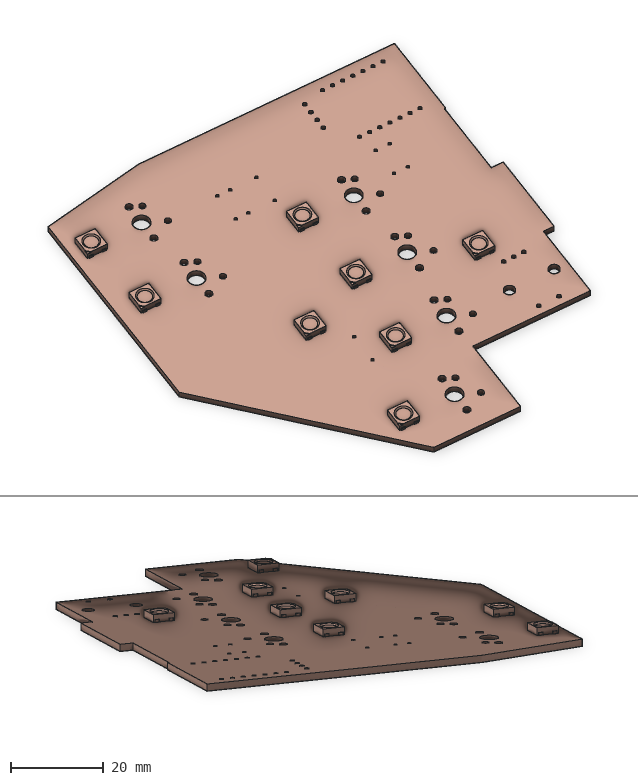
import cadquery as cq

board_length = 100.5
board_height = 93.0
board_thickness = 1.6

left_slope_top = 25.7
left_slope_foot = 4.7
right_slope_top = 38.7
right_slope_foot = 58.8
shelf_height = 60.6
shelf_start = 80.8
shoulder_height = 90.2
shoulder_step = 0.3
shoulder_step_start = 21.1
tab_left = 40.4
tab_right = 61.4

switch_centers = [(31.6, 60.7), (51.1, 62.2), (70.6, 60.2), (90.1, 50.2), (33.6, 19.8), (14.2, 17.8)]
switch_post_diameter = 4.0
switch_side_pin_diameter = 1.7
switch_contact_diameter = 1.5

header_pin_count = 7
header_row_length = 15.3
header_pin_diameter = 0.88
header_bottom_left = (3.0, 70.2)
pin_grid = header_row_length / (header_pin_count - 1)

display_pin_count = 4
display_pin_diameter = 1.0
display_first_pin = (4.4, 64.9)

encoder_center = (71.6, 81.1)
encoder_pin_diameter = 1.0
encoder_left_reach = 7.4
encoder_right_reach = 7.0
encoder_mount_diameter = 2.6
encoder_mount_reach = 5.6

diode_diameter = 0.73
diode_lead_spacing = 7.5
diode_left_holes = [(23.3, 74.8), (23.3, 71.3), (16.4, 45.4), (16.4, 38.8), (16.4, 35.6), (65.2, 40.2)]

lamp_centers = [
    (58.1, 76.0),
    (51.2, 49.2),
    (31.6, 47.7),
    (70.7, 47.3),
    (90.1, 37.4),
    (58.2, 33.4),
    (33.2, 7.0),
    (14.2, 5.1),
]
lamp_side = 5.0
lamp_height = 1.7
lamp_mark_leg = 0.9
lamp_mark_depth = 0.3
reflector_top_diameter = 4.0
reflector_floor_diameter = 3.3
reflector_depth = 0.3
terminal_span = 5.4
terminal_pitch = 3.3
terminal_width = 1.0
terminal_height = 0.6


def board_outline():
    return [
        (0, shoulder_height),
        (0, left_slope_top),
        (left_slope_foot, 0),
        (right_slope_foot, 0),
        (board_length, right_slope_top),
        (board_length, shelf_height),
        (shelf_start, shelf_height),
        (shelf_start, shoulder_height),
        (tab_right, shoulder_height),
        (tab_right, board_height),
        (tab_left, board_height),
        (tab_left, shoulder_height - shoulder_step),
        (shoulder_step_start, shoulder_height - shoulder_step),
        (shoulder_step_start, shoulder_height),
    ]


def offset_points(center, offsets):
    return [(center[0] + dx, center[1] + dy) for dx, dy in offsets]


def drill(plate, points, diameter):
    cutters = cq.Workplane("XY").pushPoints(points).circle(diameter / 2).extrude(board_thickness)
    return plate.cut(cutters)


def drill_switches(plate):
    side_pins = [(-2 * pin_grid, 0), (2 * pin_grid, 0)]
    contacts = [(-1.5 * pin_grid, pin_grid), (pin_grid, 2 * pin_grid)]
    plate = drill(plate, switch_centers, switch_post_diameter)
    for center in switch_centers:
        plate = drill(plate, offset_points(center, side_pins), switch_side_pin_diameter)
        plate = drill(plate, offset_points(center, contacts), switch_contact_diameter)
    return plate


def drill_header(plate):
    offsets = [(dx, i * pin_grid) for dx in (0, header_row_length) for i in range(header_pin_count)]
    return drill(plate, offset_points(header_bottom_left, offsets), header_pin_diameter)


def drill_display(plate):
    offsets = [(i * pin_grid, 0) for i in range(display_pin_count)]
    return drill(plate, offset_points(display_first_pin, offsets), display_pin_diameter)


def drill_encoder(plate):
    pins = [(-encoder_left_reach, i * pin_grid) for i in (-1, 0, 1)]
    pins += [(encoder_right_reach, i * pin_grid) for i in (-1, 1)]
    mounts = [(0, -encoder_mount_reach), (0, encoder_mount_reach)]
    plate = drill(plate, offset_points(encoder_center, pins), encoder_pin_diameter)
    return drill(plate, offset_points(encoder_center, mounts), encoder_mount_diameter)


def drill_diodes(plate):
    for left_hole in diode_left_holes:
        pair = offset_points(left_hole, [(0, 0), (diode_lead_spacing, 0)])
        plate = drill(plate, pair, diode_diameter)
    return plate


def make_board():
    plate = cq.Workplane("XY").polyline(board_outline()).close().extrude(board_thickness)
    plate = drill_switches(plate)
    plate = drill_header(plate)
    plate = drill_display(plate)
    plate = drill_encoder(plate)
    return drill_diodes(plate)


def make_lamp(center):
    """A lamp standing on the board, with its polarity notch in the +X, -Y corner."""
    body = cq.Workplane("XY").box(lamp_side, lamp_side, lamp_height, centered=(True, True, False))

    terminals = (
        cq.Workplane("XY")
        .pushPoints([(0, -terminal_pitch / 2), (0, terminal_pitch / 2)])
        .box(terminal_span, terminal_width, terminal_height, centered=(True, True, False))
    )

    reflector = (
        cq.Workplane("XY", origin=(0, 0, lamp_height))
        .circle(reflector_top_diameter / 2)
        .workplane(offset=-reflector_depth)
        .circle(reflector_floor_diameter / 2)
        .loft()
    )

    corner = lamp_side / 2
    notch = (
        cq.Workplane("XY", origin=(0, 0, lamp_height - lamp_mark_depth))
        .polyline([(corner, -corner), (corner, lamp_mark_leg - corner), (corner - lamp_mark_leg, -corner)])
        .close()
        .extrude(lamp_mark_depth)
    )

    lamp = body.union(terminals).cut(reflector).cut(notch)
    return lamp.translate((center[0], center[1], board_thickness))


board = make_board()
lamps = [make_lamp(center) for center in lamp_centers]

result = cq.Compound.makeCompound([board.val(), *[lamp.val() for lamp in lamps]])